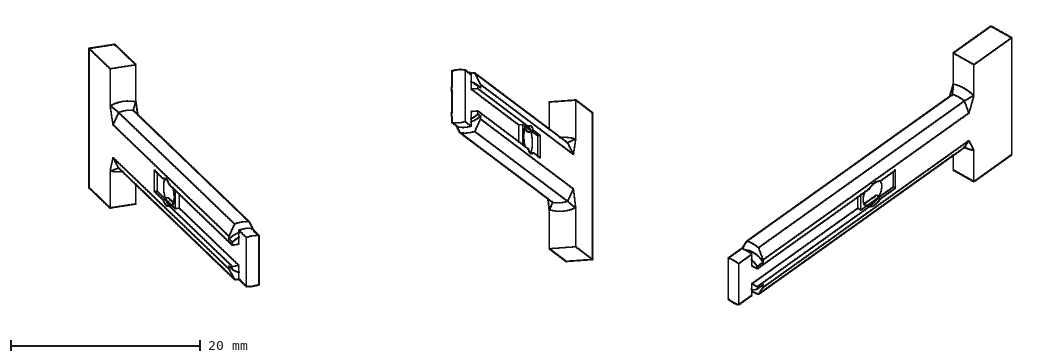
import cadquery as cq
import math

total_length = 42.55
head_length = 6.0
root_end = 6.8
shank_end = 39.5
tip_start = 40.45

thickness = 2.95
head_height = 15.9
shank_radius = 3.28
crown_half_width = 0.83
shank_face_half_height = 1.87

root_radius = 4.0
root_bevel = 0.05

neck_radius = 2.13
tip_radius = 2.9
tip_thickness = 1.45

slot_height = 2.43
pocket_start = 18.48
pocket_end = 23.63
pocket_depth = 0.3

hole_x = 21.8
hole_diameter = 3.0
rib_gap = 2.15
rib_width = 0.43

half_thickness = thickness / 2
slot_depth = (thickness - tip_thickness) / 2


def box_from(x_start, x_end, width, height):
    """Box centred on the X axis between two stations."""
    return cq.Workplane("XY").box(x_end - x_start, width, height, centered=(False, True, True)).translate(
        (x_start, 0, 0)
    )


def rounded_bar(x_start, x_end, radius, width):
    """Cylinder along X with its two sides cut flat to the given width."""
    bar = cq.Workplane("YZ", origin=(x_start, 0, 0)).circle(radius).extrude(x_end - x_start)
    return bar.intersect(box_from(x_start, x_end, width, 2 * radius))


def bevelled_section(x, radius, crown, face):
    """Closed section with arc crowns, bevelled corners and flat broad faces."""
    shoulder = math.sqrt(radius**2 - crown**2)
    return (
        cq.Workplane("YZ", origin=(x, 0, 0))
        .moveTo(-half_thickness, -face)
        .lineTo(-half_thickness, face)
        .lineTo(-crown, shoulder)
        .threePointArc((0, radius), (crown, shoulder))
        .lineTo(half_thickness, face)
        .lineTo(half_thickness, -face)
        .lineTo(crown, -shoulder)
        .threePointArc((0, -radius), (-crown, -shoulder))
        .close()
    )


def make_shank():
    section = bevelled_section(root_end, shank_radius, crown_half_width, shank_face_half_height)
    return section.extrude(shank_end - root_end)


def make_root():
    """Ruled flare: the bevels narrow almost to a point where they meet the head."""
    crown = half_thickness - root_bevel
    face = math.sqrt(root_radius**2 - crown**2) - root_bevel
    wide = bevelled_section(head_length, root_radius, crown, face).val()
    narrow = bevelled_section(root_end, shank_radius, crown_half_width, shank_face_half_height).val()
    return cq.Workplane(cq.Solid.makeLoft([wide, narrow], True))


def make_slot_cutter(side):
    """Shallow pocket and deep slot for one broad face (side is -1 or +1)."""
    face_offset = (0, side * half_thickness, 0)
    pocket = box_from(pocket_start, pocket_end, 2 * pocket_depth, slot_height)
    slot = box_from(pocket_end, tip_start, 2 * slot_depth, slot_height)
    return pocket.union(slot).translate(face_offset)


def make_rib(side_y, side_z):
    """Rounded rib along X, behind one pocket floor, filling one end of the hole."""
    floor_y = side_y * (half_thickness - pocket_depth)
    inner_y = floor_y - side_y * rib_width
    crest_y = (floor_y + inner_y) / 2
    base_z = side_z * slot_height / 2
    outer_z = side_z * hole_diameter / 2
    return (
        cq.Workplane("YZ", origin=(hole_x - hole_diameter / 2, 0, 0))
        .moveTo(floor_y, outer_z)
        .lineTo(floor_y, base_z)
        .threePointArc((crest_y, side_z * rib_gap / 2), (inner_y, base_z))
        .lineTo(inner_y, outer_z)
        .close()
        .extrude(hole_diameter)
    )


def make_hole_cutter():
    """Through hole with its four ribs left standing."""
    hole = cq.Workplane("XZ", origin=(hole_x, half_thickness, 0)).circle(hole_diameter / 2).extrude(thickness)
    for side_y in (-1, 1):
        for side_z in (-1, 1):
            hole = hole.cut(make_rib(side_y, side_z))
    return hole


body = (
    box_from(0, head_length, thickness, head_height)
    .union(make_root())
    .union(make_shank())
    .union(rounded_bar(shank_end, tip_start, neck_radius, thickness))
    .union(rounded_bar(tip_start, total_length, tip_radius, tip_thickness))
)
for side in (-1, 1):
    body = body.cut(make_slot_cutter(side))

result = body.cut(make_hole_cutter())